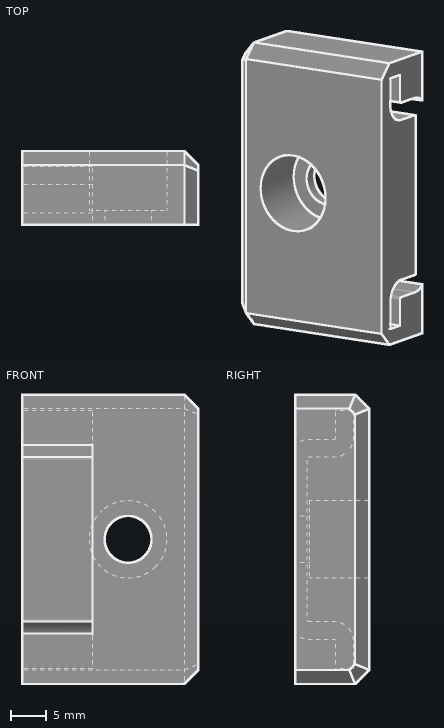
import cadquery as cq
import math

length_x = 24.95
depth_y = 10.5
height_z = 41.0
chamfer_size = 2.0

hole_diameter = 6.6
hole_x = 15.0
front_wall = 2.0
counterbore_diameter = 11.0

pocket_length = 10.0
strap_thickness = 2.5
floor_y = 1.7
tab_back_y = 8.25
tab_front_y = tab_back_y - strap_thickness
tab_end_margin = 2.25
step_margin = 6.35
inner_bend_radius = 0.25
outer_bend_radius = inner_bend_radius + strap_thickness

mid_z = height_z / 2
tab_end_z = mid_z - tab_end_margin
step_outer_z = mid_z - step_margin
step_inner_z = step_outer_z - strap_thickness


def corner_cutter(point, normal):
    """Large block lying on the outer side of the plane through a point."""
    plane = cq.Plane(origin=point, normal=normal)
    return cq.Workplane(plane).rect(height_z, height_z).extrude(depth_y)


def make_block():
    """Box with chamfered rear edges and both +X corners cut off."""
    block = cq.Workplane("XY").box(length_x, depth_y, height_z, centered=(False, False, True))
    block = block.faces(">Y").edges("not <X").chamfer(chamfer_size)

    corner_x = length_x - chamfer_size
    rear_corner_z = mid_z - chamfer_size
    for side in (1, -1):
        block = block.cut(corner_cutter((corner_x, 0, side * mid_z), (1, 0, side)))
        rear_corner = (corner_x, depth_y, side * rear_corner_z)
        block = block.cut(corner_cutter(rear_corner, (math.sqrt(2), 1, side)))
    return block


def strap_half():
    """Upper half of the bent strap, which breaks out through the front face."""
    strap_front_y = floor_y - strap_thickness
    half = (
        cq.Workplane("YZ")
        .moveTo(strap_front_y, 0)
        .lineTo(strap_front_y, step_outer_z - outer_bend_radius)
        .radiusArc((strap_front_y + outer_bend_radius, step_outer_z), outer_bend_radius)
        .lineTo(tab_front_y - inner_bend_radius, step_outer_z)
        .radiusArc((tab_front_y, step_outer_z + inner_bend_radius), -inner_bend_radius)
        .lineTo(tab_front_y, tab_end_z)
        .lineTo(tab_back_y, tab_end_z)
        .lineTo(tab_back_y, step_inner_z + outer_bend_radius)
        .radiusArc((tab_back_y - outer_bend_radius, step_inner_z), outer_bend_radius)
        .lineTo(floor_y + inner_bend_radius, step_inner_z)
        .radiusArc((floor_y, step_inner_z - inner_bend_radius), -inner_bend_radius)
        .lineTo(floor_y, 0)
        .close()
    )
    return half.extrude(pocket_length)


def bore(diameter, start_y):
    """Cylinder at mid height running from start_y out through the rear face."""
    start = cq.Vector(hole_x, start_y, 0)
    return cq.Solid.makeCylinder(diameter / 2, depth_y - start_y, start, cq.Vector(0, 1, 0))


upper_strap = strap_half()
lower_strap = upper_strap.mirror("XY")
result = make_block().cut(upper_strap).cut(lower_strap)
result = result.cut(cq.Workplane(bore(hole_diameter, 0)))
result = result.cut(cq.Workplane(bore(counterbore_diameter, front_wall)))